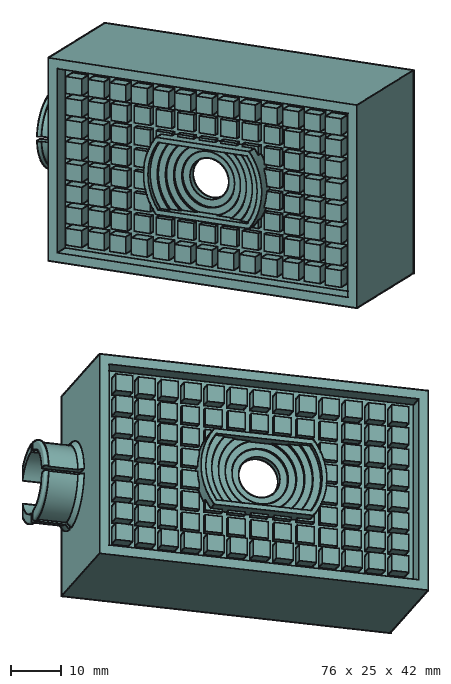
import cadquery as cq
overall_length = 76.0
body_length = 67.9
body_depth = 25.0
body_height = 42.0
wall = 2.0
back_lip = 0.15
spigot_length = overall_length - body_length - back_lip

left_face = -body_length / 2
front_face = -body_depth / 2
back_face = body_depth / 2

tray_depth = 3.5
front_plate = 1.0
column_recesses = (0.7, 1.0, 1.6)
row_recesses = (1.0,)
inner_recess = 2.3
stud_size = 3.5
stud_columns = 13
stud_rows = 8
column_pitch = 4.75
row_pitch = 4.5
stud_left_gap = 1.6

window_radius = 12.0
window_half_height = 7.0
window_rim = 1.0
hole_radius = 4.25
step_count = 5
first_step_depth = 1.0
step_depth = 0.5

spigot_axis_y = back_face - 6.0
spigot_radius = 8.0
spigot_bore_radius = 6.45
bead_radius = 0.495
flare = 1.0
slit_width = 1.0
port_width = 5.0

rib_left = 13.45
rib_thickness = 1.5
rib_height = 6.0

plate_back = front_face + tray_depth + front_plate
cavity_floor = -body_height / 2 + wall


def block(x_min, y_min, z_min, x_size, y_size, z_size):
    """Box given by its lowest corner and its sizes."""
    return cq.Workplane("XY").box(x_size, y_size, z_size, centered=False).translate((x_min, y_min, z_min))


def front_cylinder(radius, y_start, length):
    """Cylinder along +Y, centred on the window."""
    return cq.Workplane("XZ", origin=(0, y_start, 0)).circle(radius).extrude(-length)


def flattened_disc(radius, half_height, y_start, length):
    """Disc along +Y with its top and bottom cut flat."""
    band = block(-radius, y_start, -half_height, 2 * radius, length, 2 * half_height)
    return front_cylinder(radius, y_start, length).intersect(band)


def make_body():
    inner_length = body_length - 2 * wall
    inner_height = body_height - 2 * wall
    body = cq.Workplane("XY").box(body_length, body_depth, body_height)
    tray = block(-inner_length / 2, front_face, -inner_height / 2, inner_length, tray_depth, inner_height)
    cavity = block(
        -inner_length / 2, plate_back, -inner_height / 2, inner_length, back_face - plate_back, inner_height
    )
    lip = block(
        body_length / 2, back_face - back_lip, -body_height / 2, back_lip, back_lip, body_height
    )
    return body.cut(tray).cut(cavity).union(lip)


def edge_recess(index, count, recesses):
    """Recess of a row or column, taken from how far it lies from the edge of the grid."""
    steps_from_edge = min(index, count - 1 - index)
    if steps_from_edge < len(recesses):
        return recesses[steps_from_edge]
    return inner_recess


def make_studs():
    """Grid of studs that get shorter in steps from the edge of the tray inwards."""
    grid_left = left_face + wall + stud_left_gap
    grid_bottom = -((stud_rows - 1) * row_pitch + stud_size) / 2
    studs = cq.Workplane("XY")
    for column in range(stud_columns):
        for row in range(stud_rows):
            recess = min(
                edge_recess(column, stud_columns, column_recesses),
                edge_recess(row, stud_rows, row_recesses),
            )
            studs = studs.add(
                block(
                    grid_left + column * column_pitch,
                    front_face + recess,
                    grid_bottom + row * row_pitch,
                    stud_size,
                    tray_depth - recess,
                    stud_size,
                )
            )
    return studs.combine()


def make_window_boss():
    return flattened_disc(
        window_radius + window_rim, window_half_height + window_rim, front_face, plate_back - front_face
    )


def make_window_cut():
    """Round hole that widens towards the front in steps of equal width."""
    cut = front_cylinder(hole_radius, front_face, plate_back - front_face)
    step_width = (window_radius - hole_radius) / step_count
    for step in range(step_count):
        radius = window_radius - step * step_width
        depth = first_step_depth + step * step_depth
        cut = cut.union(flattened_disc(radius, window_half_height, front_face, depth))
    return cut


def make_spigot():
    tip = left_face - spigot_length
    bead_root = spigot_radius - 0.1
    profile = (
        cq.Workplane("XY")
        .moveTo(tip, spigot_bore_radius)
        .lineTo(tip, bead_root)
        .threePointArc((tip + bead_radius, bead_root + bead_radius), (tip + 2 * bead_radius, bead_root))
        .lineTo(tip + 2 * bead_radius, spigot_radius)
        .lineTo(left_face - flare, spigot_radius)
        .lineTo(left_face, spigot_radius + flare)
        .lineTo(left_face, spigot_bore_radius)
        .close()
    )
    spigot = profile.revolve(360, (0, 0, 0), (1, 0, 0)).translate((0, spigot_axis_y, 0))
    reach = 2 * (spigot_radius + flare)
    upright_slit = block(tip, spigot_axis_y - slit_width / 2, -reach / 2, spigot_length, slit_width, reach)
    level_slit = block(tip, spigot_axis_y - reach / 2, -slit_width / 2, spigot_length, reach, slit_width)
    beyond_back = block(tip, back_face, -reach / 2, spigot_length, reach, reach)
    return spigot.cut(upright_slit).cut(level_slit).cut(beyond_back)


def make_port():
    """Upright oblong opening through the left wall, inside the spigot."""
    return (
        cq.Workplane("YZ", origin=(left_face, spigot_axis_y, 0))
        .slot2D(2 * spigot_bore_radius, port_width, 90)
        .extrude(wall)
    )


def make_rib():
    return block(rib_left, plate_back, cavity_floor, rib_thickness, back_face - plate_back, rib_height)


result = (
    make_body()
    .union(make_studs())
    .union(make_window_boss())
    .cut(make_window_cut())
    .union(make_spigot())
    .cut(make_port())
    .union(make_rib())
)